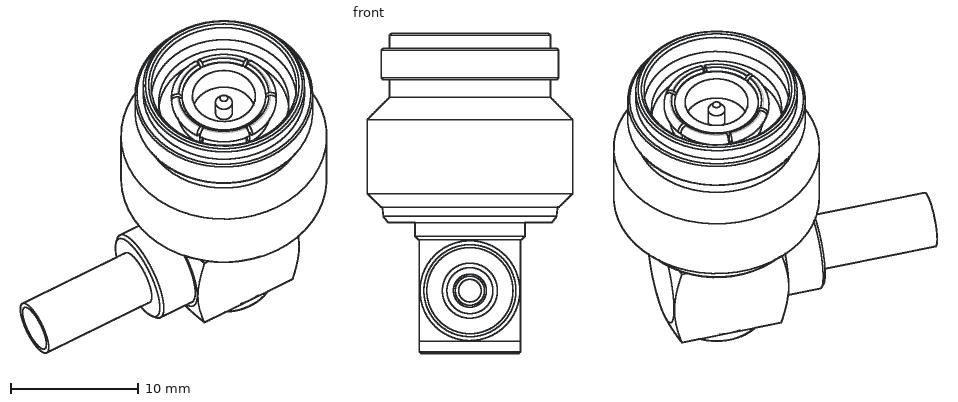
import cadquery as cq
import math


overall_length = 25.5
nut_diameter = 16.2

block_size = 7.98
block_half = block_size / 2
block_front = -4.82
block_back = 4.55
block_face_radius = 3.93
block_corner_angle = 20.0

bottom = -4.95
cap_chamfer = 0.15

collar_end = -7.93
collar_radius = 3.62
collar_chamfer = 0.23
tube_end = nut_diameter / 2 - overall_length
tube_radius = 2.17
tube_bore_radius = 1.8
sleeve_radius = 1.3
sleeve_bore_radius = 0.9
sleeve_chamfer = 0.15

top = 20.25
nut_radius = nut_diameter / 2
nut_bottom = 7.62
lower_cone_bottom = 6.58
step_bottom = 5.92
neck_top = 5.35
step_radius = 6.9
step_end_radius = 6.83
step_land = 0.08
step_chamfer = 0.38
lower_cone_radius = 7.0
upper_cone_bottom = 13.45
upper_cone_top = 15.2
rim_radius = 6.35
rim_chamfer = 0.18
ring_radius = 6.99
ring_bottom = 16.58
ring_top = 19.07
ring_chamfer = 0.15

neck_radius = 4.34
neck_chamfer = 0.28

mouth_radius = 5.92
mouth_chamfer = 0.2
socket_radius = mouth_radius - mouth_chamfer
seat_radius = 5.13
seat_top_depth = 1.84
seat_bottom_depth = 2.3
socket_depth = 3.5

finger_radius = 4.13
bead_radius = 0.45
finger_crest_radius = 3.55
finger_depth = 1.3
insulator_radius = 3.3
insulator_depth = 1.48
insulator_bore_radius = 2.47
insulator_bore_depth = 3.72
slot_count = 6
slot_width = 0.28
pin_radius = 0.66
pin_tip_radius = 0.3
pin_shoulder_depth = 2.35
pin_tip_depth = 1.78


def revolve_about_z(outline):
    """Revolve a closed (radius, z) outline about the Z axis."""
    return outline.close().revolve(360, (0, 0, 0), (0, 1, 0))


def cylinder_along_y(radius, start, end):
    """Solid cylinder on the cable axis between two Y positions, start being nearer the block."""
    return cq.Workplane("XZ", origin=(0, start, 0)).circle(radius).extrude(start - end)


def make_block():
    """Square block whose corners are turned down to a cone at both Y ends."""
    length = block_back - block_front
    middle = (block_front + block_back) / 2
    block = cq.Workplane("XY", origin=(0, middle, 0)).box(block_size, length, block_size)
    slope = math.tan(math.radians(block_corner_angle))
    middle_radius = block_face_radius + length / 2 / slope
    turned = (
        cq.Workplane("XY")
        .moveTo(0, block_front)
        .lineTo(block_face_radius, block_front)
        .lineTo(middle_radius, middle)
        .lineTo(block_face_radius, block_back)
        .lineTo(0, block_back)
        .close()
        .revolve(360, (0, 0, 0), (0, 1, 0))
    )
    return block.intersect(turned)


def make_cap():
    """Round cap below the block, chamfered at the bottom."""
    cap = cq.Workplane("XY", origin=(0, 0, bottom)).circle(block_half).extrude(-bottom)
    return cap.faces("<Z").chamfer(cap_chamfer)


def make_collar():
    """Cable collar, chamfered at its free end."""
    return cylinder_along_y(collar_radius, 0, collar_end).faces("<Y").chamfer(collar_chamfer)


def make_sleeve():
    """Inner crimp sleeve standing in the tube bore, flush with the collar end."""
    sleeve = cylinder_along_y(sleeve_radius, block_front, collar_end)
    sleeve = sleeve.faces("<Y").chamfer(sleeve_chamfer)
    return sleeve.cut(cylinder_along_y(sleeve_bore_radius, block_front, collar_end))


def make_nut():
    """Neck and coupling nut with the open socket."""
    outline = (
        cq.Workplane("XZ")
        .moveTo(0, block_half)
        .lineTo(neck_radius - neck_chamfer, block_half)
        .lineTo(neck_radius, block_half + neck_chamfer)
        .lineTo(neck_radius, neck_top)
        .lineTo(step_end_radius - step_chamfer, neck_top)
        .lineTo(step_end_radius, step_bottom - step_land)
        .lineTo(step_end_radius, step_bottom)
        .lineTo(step_radius, lower_cone_bottom)
        .lineTo(lower_cone_radius, lower_cone_bottom)
        .lineTo(nut_radius, nut_bottom)
        .lineTo(nut_radius, upper_cone_bottom)
        .lineTo(rim_radius, upper_cone_top)
        .lineTo(rim_radius, ring_bottom)
        .lineTo(ring_radius - ring_chamfer, ring_bottom)
        .lineTo(ring_radius, ring_bottom + ring_chamfer)
        .lineTo(ring_radius, ring_top - ring_chamfer)
        .lineTo(ring_radius - ring_chamfer, ring_top)
        .lineTo(rim_radius, ring_top)
        .lineTo(rim_radius, top - rim_chamfer)
        .lineTo(rim_radius - rim_chamfer, top)
        .lineTo(mouth_radius, top)
        .lineTo(socket_radius, top - mouth_chamfer)
        .lineTo(socket_radius, top - seat_top_depth)
        .lineTo(seat_radius, top - seat_bottom_depth)
        .lineTo(seat_radius, top - socket_depth)
        .lineTo(0, top - socket_depth)
    )
    return revolve_about_z(outline)


def make_fingers():
    """Contact ring with a half-round outer bead, cut into spring fingers by radial slots."""
    crest = top - finger_depth
    bead_center_radius = finger_radius - bead_radius
    outline = (
        cq.Workplane("XZ")
        .moveTo(insulator_radius, top - socket_depth)
        .lineTo(bead_center_radius, top - socket_depth)
        .lineTo(bead_center_radius, crest - 2 * bead_radius)
        .threePointArc((finger_radius, crest - bead_radius), (bead_center_radius, crest))
        .lineTo(finger_crest_radius, crest)
        .lineTo(insulator_radius, crest - (finger_crest_radius - insulator_radius))
    )
    slots = (
        cq.Workplane("XY", origin=(0, 0, top - socket_depth))
        .polarArray(finger_radius, 0, 360, slot_count)
        .rect(finger_radius, slot_width)
        .extrude(socket_depth)
    )
    return revolve_about_z(outline).cut(slots)


def make_insulator():
    """Insulator filling the contact ring."""
    height = socket_depth - insulator_depth
    return cq.Workplane("XY", origin=(0, 0, top - socket_depth)).circle(insulator_radius).extrude(height)


def make_insulator_bore():
    """Round pocket around the centre pin."""
    floor = top - insulator_bore_depth
    return cq.Workplane("XY", origin=(0, 0, floor)).circle(insulator_bore_radius).extrude(insulator_bore_depth)


def make_pin():
    """Centre pin with a tapered tip."""
    outline = (
        cq.Workplane("XZ")
        .moveTo(0, 0)
        .lineTo(pin_radius, 0)
        .lineTo(pin_radius, top - pin_shoulder_depth)
        .lineTo(pin_tip_radius, top - pin_tip_depth)
        .lineTo(0, top - pin_tip_depth)
    )
    return revolve_about_z(outline)


elbow = make_block().union(make_cap()).union(make_collar())
elbow = elbow.union(cylinder_along_y(tube_radius, 0, tube_end))
elbow = elbow.cut(cylinder_along_y(tube_bore_radius, block_front, tube_end))
elbow = elbow.union(make_sleeve())

plug = make_nut().union(make_insulator()).union(make_fingers())
plug = plug.cut(make_insulator_bore()).union(make_pin())

result = elbow.union(plug)